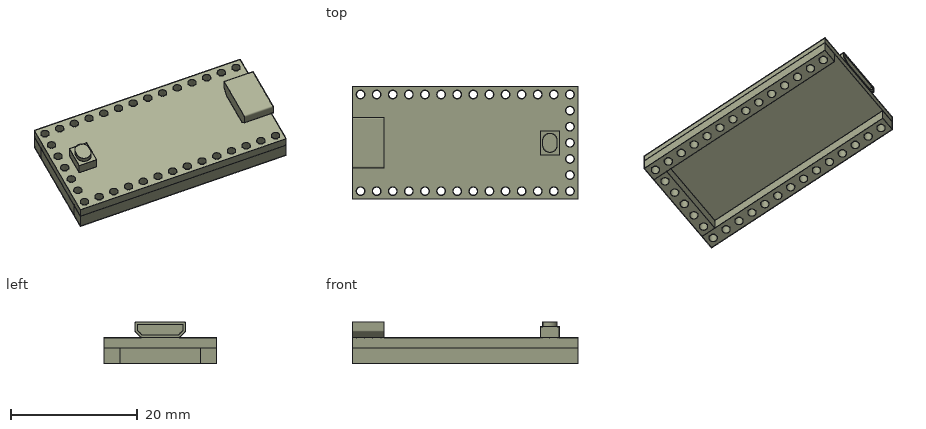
import cadquery as cq

pitch = 2.54
holes_per_side = 14
holes_across = 7
hole_diameter = 1.3
strip_height = 2.5
board_thickness = 1.6

board_length = holes_per_side * pitch
board_width = holes_across * pitch
board_top = strip_height + board_thickness

usb_length = 5.0
usb_width = 8.0
usb_height = 2.5
usb_flank = 1.0
usb_wall = 0.4
usb_edge_radius = 0.25

button_x = 13.35
button_length = 3.0
button_width = 3.8
button_base_height = 1.75
button_cap_height = 0.75
button_cap_length = 2.3
button_cap_width = 3.0

side_row_y = (board_width - pitch) / 2
end_row_x = (board_length - pitch) / 2
end_holes = holes_across - 2


def block(length, width, bottom, height, x=0, y=0):
    """Rectangular block centred on (x, y) with its underside at the given height."""
    return cq.Workplane("XY", origin=(x, y, bottom)).box(length, width, height, centered=(True, True, False))


def hole_row(x_count, y_count, x=0, y=0):
    """Upright cutters on the pin pitch, tall enough to pass through strips and board."""
    return (
        cq.Workplane("XY", origin=(x, y, 0))
        .rarray(pitch, pitch, x_count, y_count)
        .circle(hole_diameter / 2)
        .extrude(board_top)
    )


def make_board():
    board = block(board_length, board_width, strip_height, board_thickness)
    for side in (-1, 1):
        board = board.cut(hole_row(holes_per_side, 1, y=side * side_row_y))
    return board.cut(hole_row(1, end_holes, x=end_row_x))


def make_strip(x_count, y_count, x=0, y=0):
    """Pin header strip with one through hole per pitch cell."""
    strip = block(x_count * pitch, y_count * pitch, 0, strip_height, x, y)
    return strip.cut(hole_row(x_count, y_count, x, y))


def usb_outline(x):
    """Socket cross-section at the given X: a rectangle with both lower corners cut at 45 degrees."""
    half_width = usb_width / 2
    return (
        cq.Workplane("YZ", origin=(x, 0, board_top))
        .moveTo(-half_width, usb_height)
        .lineTo(half_width, usb_height)
        .lineTo(half_width, usb_flank)
        .lineTo(half_width - usb_flank, 0)
        .lineTo(usb_flank - half_width, 0)
        .lineTo(-half_width, usb_flank)
        .close()
    )


def make_usb_socket():
    open_end_x = -board_length / 2
    shell = usb_outline(open_end_x).extrude(usb_length).edges("|X").fillet(usb_edge_radius)
    cavity = usb_outline(open_end_x).offset2D(-usb_wall).extrude(usb_length - usb_wall)
    return shell.cut(cavity)


def make_button():
    base = block(button_length, button_width, board_top, button_base_height, x=button_x)
    cap = (
        cq.Workplane("XY", origin=(button_x, 0, board_top + button_base_height))
        .slot2D(button_cap_width, button_cap_length, 90)
        .extrude(button_cap_height)
    )
    return base.union(cap)


board = make_board()
side_strips = [make_strip(holes_per_side, 1, y=side * side_row_y) for side in (-1, 1)]
end_strip = make_strip(1, end_holes, x=end_row_x)
usb_socket = make_usb_socket()
button = make_button()

result = cq.Compound.makeCompound(
    [
        board.val(),
        *[strip.val() for strip in side_strips],
        end_strip.val(),
        usb_socket.val(),
        button.val(),
    ]
)